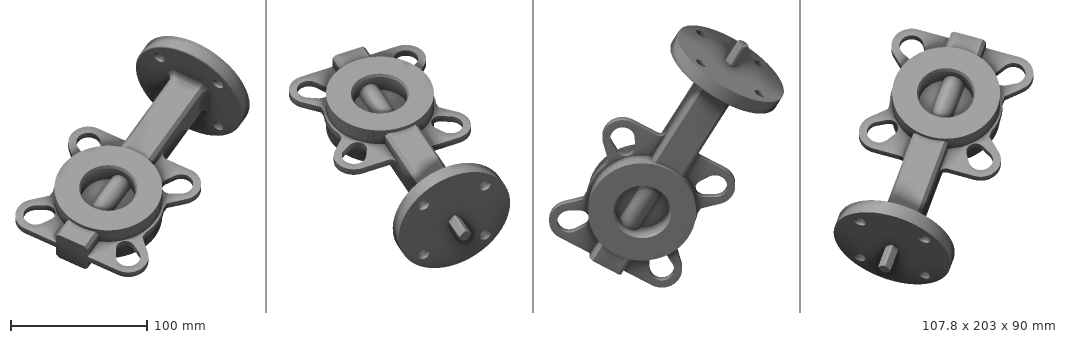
import cadquery as cq
import math


overall_length = 203.0

lug_span = 107.8
lug_radius = 14.8
lug_pitch = lug_span - 2 * lug_radius
plate_thickness = 5.5
plate_disc_radius = 41.5
slot_outer_radius = 9.0
slot_inner_radius = 7.0
slot_pitch_inner = 67.0

ring_radius = 39.5
ring_height = 32.7
liner_radius = 34.5
bore_radius = 20.0
bore_chamfer_width = 1.2
bore_chamfer_depth = 2.2

body_bottom = -54.0
neck_width = 26.5
neck_edge_chamfer = 2.5
neck_root_fillet = 5.0
root_margin = 0.2
flange_diameter = 90.0
flange_thickness = 11.5
flange_edge_radius = 1.2
flange_hole_diameter = 9.0
flange_hole_pitch = 49.5

disc_rim_thickness = 2.6
disc_centre_thickness = 4.0
hub_radius = 8.5

stem_diameter = 9.5
stem_square = 8.0
stem_projection = 18.9
stem_tip_chamfer = 0.6
stem_depth_in_hub = 10.2

stem_top = body_bottom + overall_length
flange_top = stem_top - stem_projection
flange_bottom = flange_top - flange_thickness


def across_y(y):
    """Workplane facing +Y at the given height along the stem axis."""
    return cq.Workplane("XZ", origin=(0, y, 0)).transformed(rotate=(180, 0, 0))


def z_cylinder(radius, height):
    """Cylinder along Z, centred on the disc."""
    return cq.Workplane("XY").circle(radius).extrude(height / 2, both=True)


def make_slot():
    """Tapered slot of the +X +Y lug: two circles on the diagonal and their outer tangents."""
    outer = lug_pitch / 2
    inner = slot_pitch_inner / 2
    distance = math.sqrt(2) * (outer - inner)
    tilt = math.asin((slot_outer_radius - slot_inner_radius) / distance)

    def on_circle(centre, radius, angle):
        return (centre + radius * math.cos(angle), centre + radius * math.sin(angle))

    diagonal = math.pi / 4
    side = math.pi / 2 + tilt
    return (
        cq.Workplane("XY")
        .moveTo(*on_circle(outer, slot_outer_radius, diagonal - side))
        .threePointArc(
            on_circle(outer, slot_outer_radius, diagonal),
            on_circle(outer, slot_outer_radius, diagonal + side),
        )
        .lineTo(*on_circle(inner, slot_inner_radius, diagonal + side))
        .threePointArc(
            on_circle(inner, slot_inner_radius, diagonal + math.pi),
            on_circle(inner, slot_inner_radius, diagonal - side),
        )
        .close()
        .extrude(plate_thickness, both=True)
    )


def make_lug():
    """Round lug at the +X +Y corner with a flank sloping back to the plate at 45 degrees."""
    centre = lug_pitch / 2
    tangent = lug_radius / math.sqrt(2)
    lug = (
        cq.Workplane("XY")
        .moveTo(centre, centre + lug_radius)
        .threePointArc((centre + lug_radius, centre), (centre + tangent, centre - tangent))
        .lineTo(centre, centre - lug_radius * math.sqrt(2))
        .close()
    )
    return lug.extrude(plate_thickness / 2, both=True)


def four_corners(shape):
    """The shape of the +X +Y corner together with its mirror images in the other corners."""
    right_pair = shape.union(shape.mirror("XZ"))
    return right_pair.union(right_pair.mirror("YZ"))


def make_plate():
    """Flat plate around the ring, carrying the four bolt lugs."""
    plate = cq.Workplane("XY").rect(lug_pitch, lug_span).extrude(plate_thickness / 2, both=True)
    plate = plate.union(z_cylinder(plate_disc_radius, plate_thickness))
    return plate.union(four_corners(make_lug()))


def make_neck_and_flange():
    """Chamfered square neck, running the full height of the body, and the round flange on top."""
    neck = across_y(body_bottom).rect(neck_width, neck_width).extrude(flange_bottom - body_bottom)
    neck = neck.edges("|Y").chamfer(neck_edge_chamfer)
    flange = across_y(flange_bottom).circle(flange_diameter / 2).extrude(flange_thickness)
    flange = flange.faces("<Y").edges().fillet(flange_edge_radius)
    joined = neck.union(flange)
    reach = neck_width / 2 + root_margin
    root = cq.selectors.BoxSelector(
        (-reach, flange_bottom - root_margin, -reach),
        (reach, flange_bottom + root_margin, reach),
        boundingbox=True,
    )
    return joined.edges(root).fillet(neck_root_fillet)


def make_plate_neck_webs():
    """Concave roundings where the upper plate edge meets the two sides of the neck."""
    corner_x = neck_width / 2
    corner_y = lug_span / 2
    bulge = neck_root_fillet * (1 - 1 / math.sqrt(2))
    web = (
        cq.Workplane("XY")
        .moveTo(corner_x, corner_y)
        .lineTo(corner_x + neck_root_fillet, corner_y)
        .threePointArc((corner_x + bulge, corner_y + bulge), (corner_x, corner_y + neck_root_fillet))
        .close()
        .extrude(plate_thickness / 2, both=True)
    )
    return web.union(web.mirror("YZ"))


def make_stem():
    """Round shaft reaching into the disc hub, with a square drive end whose corners are rounded."""
    shaft_end = bore_radius - stem_depth_in_hub
    shaft = across_y(shaft_end).circle(stem_diameter / 2).extrude(flange_top - shaft_end)
    square = (
        across_y(flange_top)
        .transformed(rotate=(0, 0, 45))
        .rect(stem_square, stem_square)
        .extrude(stem_projection)
    )
    rounding = across_y(flange_top).circle(stem_diameter / 2).extrude(stem_projection)
    rounding = rounding.faces(">Y").edges().chamfer(stem_tip_chamfer)
    return shaft.union(square.intersect(rounding))


def make_housing(stem):
    housing = make_neck_and_flange().union(make_plate()).union(make_plate_neck_webs())
    housing = housing.union(z_cylinder(ring_radius, ring_height))
    slots = four_corners(make_slot()).cut(z_cylinder(ring_radius, ring_height))
    flange_holes = (
        across_y(flange_bottom)
        .rect(flange_hole_pitch, flange_hole_pitch, forConstruction=True)
        .vertices()
        .circle(flange_hole_diameter / 2)
        .extrude(flange_thickness)
    )
    liner_seat = z_cylinder(liner_radius, ring_height)
    return housing.cut(slots).cut(flange_holes).cut(liner_seat).cut(stem)


def make_liner(stem):
    """Ring in the housing bore, with a steep lead-in chamfer at each mouth."""
    half = ring_height / 2
    mouth_radius = bore_radius + bore_chamfer_width
    liner = (
        cq.Workplane("XZ")
        .moveTo(bore_radius, bore_chamfer_depth - half)
        .lineTo(mouth_radius, -half)
        .lineTo(liner_radius, -half)
        .lineTo(liner_radius, half)
        .lineTo(mouth_radius, half)
        .lineTo(bore_radius, half - bore_chamfer_depth)
        .close()
        .revolve(360, (0, 0, 0), (0, 1, 0))
    )
    return liner.cut(stem)


def make_disc(stem):
    """Slightly conical disc with a round hub along the stem axis, filling the liner bore."""
    rim = disc_rim_thickness / 2
    crown = disc_centre_thickness / 2
    plate = (
        cq.Workplane("XZ")
        .moveTo(0, -crown)
        .lineTo(bore_radius, -rim)
        .lineTo(bore_radius, rim)
        .lineTo(0, crown)
        .close()
        .revolve(360, (0, 0, 0), (0, 1, 0))
    )
    hub = across_y(-bore_radius).circle(hub_radius).extrude(2 * bore_radius)
    hub = hub.intersect(z_cylinder(bore_radius, ring_height))
    return plate.union(hub).cut(stem)


stem = make_stem()
housing = make_housing(stem)
liner = make_liner(stem)
disc = make_disc(stem)

bodies = [housing, liner, disc, stem]
result = cq.Compound.makeCompound([body.solids().val() for body in bodies])